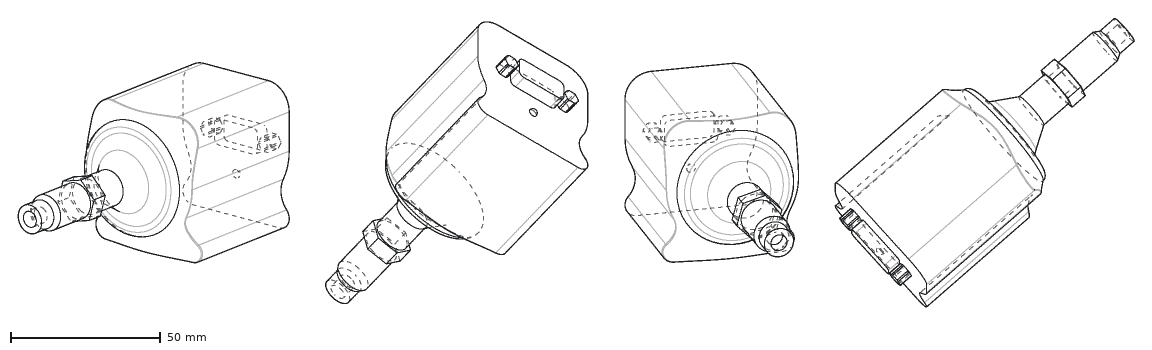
import cadquery as cq
import math


OVERALL_LENGTH = 114.0

BODY_RADIUS = 23.0
TOP_CORNER_RADIUS = 9.1
FOOT_DROP = 28.2
FOOT_CORNER_RADIUS = 4.2
FOOT_CORNER_X = BODY_RADIUS - FOOT_CORNER_RADIUS
FOOT_CORNER_Z = FOOT_CORNER_RADIUS - FOOT_DROP
WAIST_RADIUS = 9.3
BODY_EDGE_ROUND = 0.3

TAPER_MID = (26.2, -48.9)
TAPER_END = (35.3, -45.9)

FLANGE_RADIUS = 20.3
FLANGE_BACK_Y = -54.7
FLANGE_FACE_Y = -56.8
FLANGE_EDGE_ROUND = FLANGE_BACK_Y - FLANGE_FACE_Y

CONE_BASE_RADIUS = 12.8
CONE_END_Y = -67.5
CONE_ROOT_ROUND = 6.0

STEM_RADIUS = 12.7 / 2
STEM_END_Y = -100.5
TIP_RADIUS = 10.1 / 2
TIP_START_Y = -102.6
TIP_END_Y = -109.1
BORE_DIAMETER = 5.6
BORE_DEPTH = 5.7

NUT_ACROSS_FLATS = 14.0
NUT_BACK_Y = -78.8
NUT_LENGTH = 5.9
NUT_TURN = 15.0

CONNECTOR_LENGTH = OVERALL_LENGTH + TIP_END_Y
SHELL_WIDTH = 18.6
SHELL_HEIGHT = 9.3
SHELL_CORNER_RADIUS = 1.9
SHELL_Z = 0.1
SCREW_SPACING = 25.1
SCREW_ACROSS_FLATS = 5.1
SCREW_CORNER_DIAMETER = 5.6

LAMP_DIAMETER = 3.0
LAMP_Z = -13.1


def plane_at(y):
    """Sketch plane at the given Y, with X to the right, Z up and its normal toward -Y."""
    return cq.Workplane("XZ", origin=(0, y, 0))


def hex_bar(across_flats, length, y_back, turn=0.0):
    """Hexagonal bar on the Y axis, running from y_back toward -Y."""
    corner_diameter = across_flats / math.cos(math.radians(30))
    bar = plane_at(y_back).polygon(6, corner_diameter).extrude(length)
    return bar.rotate((0, 0, 0), (0, -1, 0), turn)


def waist_center():
    """Center of the right waist arc, tangent outside both the body arc and the foot corner arc."""
    to_body = BODY_RADIUS + WAIST_RADIUS
    to_foot = FOOT_CORNER_RADIUS + WAIST_RADIUS
    span = math.hypot(FOOT_CORNER_X, FOOT_CORNER_Z)
    along = (to_body**2 - to_foot**2 + span**2) / (2 * span)
    across = math.sqrt(to_body**2 - along**2)
    unit_x = FOOT_CORNER_X / span
    unit_z = FOOT_CORNER_Z / span
    return along * unit_x - across * unit_z, along * unit_z + across * unit_x


def housing_blank():
    """Full-length prism with rounded top corners, waisted sides and a flared foot."""
    waist_x, waist_z = waist_center()
    body_share = BODY_RADIUS / (BODY_RADIUS + WAIST_RADIUS)
    foot_share = FOOT_CORNER_RADIUS / (FOOT_CORNER_RADIUS + WAIST_RADIUS)
    body_end = (waist_x * body_share, waist_z * body_share)
    foot_start = (
        FOOT_CORNER_X + (waist_x - FOOT_CORNER_X) * foot_share,
        FOOT_CORNER_Z + (waist_z - FOOT_CORNER_Z) * foot_share,
    )
    half = (
        plane_at(0)
        .moveTo(0, BODY_RADIUS)
        .lineTo(BODY_RADIUS - TOP_CORNER_RADIUS, BODY_RADIUS)
        .radiusArc((BODY_RADIUS, BODY_RADIUS - TOP_CORNER_RADIUS), TOP_CORNER_RADIUS)
        .lineTo(BODY_RADIUS, 0)
        .radiusArc(body_end, BODY_RADIUS)
        .radiusArc(foot_start, -WAIST_RADIUS)
        .radiusArc((FOOT_CORNER_X, -FOOT_DROP), FOOT_CORNER_RADIUS)
        .lineTo(0, -FOOT_DROP)
        .close()
        .extrude(-FLANGE_BACK_Y)
    )
    return half.union(half.mirror("YZ")).clean()


def taper():
    """Turned envelope whose hollow front runs from the flange out past the housing corners."""
    return (
        cq.Workplane("XY")
        .lineTo(0, FLANGE_BACK_Y)
        .lineTo(FLANGE_RADIUS, FLANGE_BACK_Y)
        .threePointArc(TAPER_MID, TAPER_END)
        .lineTo(TAPER_END[0], 0)
        .close()
        .revolve(360, (0, 0, 0), (0, 1, 0))
    )


def housing():
    """Prism trimmed by the taper, with the outline edge of the tapered front slightly rounded."""
    trimmed = housing_blank().intersect(taper())
    outline_edges = trimmed.faces("not(#Y or |Y)").edges("not(%CIRCLE)")
    return outline_edges.fillet(BODY_EDGE_ROUND)


def plug():
    """Flange, strain relief cone, stem and tip, turned in one piece and bored from the tip."""
    slope = math.atan2(CONE_BASE_RADIUS - STEM_RADIUS, FLANGE_FACE_Y - CONE_END_Y)
    tangent = CONE_ROOT_ROUND * math.tan(math.pi / 4 - slope / 2)
    root_start = (CONE_BASE_RADIUS + tangent, FLANGE_FACE_Y)
    root_end = (
        CONE_BASE_RADIUS - tangent * math.sin(slope),
        FLANGE_FACE_Y - tangent * math.cos(slope),
    )
    turned = (
        cq.Workplane("XY")
        .moveTo(0, FLANGE_BACK_Y)
        .lineTo(FLANGE_RADIUS, FLANGE_BACK_Y)
        .radiusArc((FLANGE_RADIUS - FLANGE_EDGE_ROUND, FLANGE_FACE_Y), FLANGE_EDGE_ROUND)
        .lineTo(*root_start)
        .radiusArc(root_end, -CONE_ROOT_ROUND)
        .lineTo(STEM_RADIUS, CONE_END_Y)
        .lineTo(STEM_RADIUS, STEM_END_Y)
        .lineTo(TIP_RADIUS, TIP_START_Y)
        .lineTo(TIP_RADIUS, TIP_END_Y)
        .lineTo(0, TIP_END_Y)
        .close()
        .revolve(360, (0, 0, 0), (0, 1, 0))
    )
    bore = plane_at(TIP_END_Y).circle(BORE_DIAMETER / 2).extrude(-BORE_DEPTH)
    nut = hex_bar(NUT_ACROSS_FLATS, NUT_LENGTH, NUT_BACK_Y, NUT_TURN)
    return turned.union(nut).cut(bore)


def connector():
    """Connector shell with a hexagonal jack screw on each side."""
    shell = (
        plane_at(CONNECTOR_LENGTH)
        .center(0, SHELL_Z)
        .rect(SHELL_WIDTH, SHELL_HEIGHT)
        .extrude(CONNECTOR_LENGTH)
        .edges("|Y")
        .fillet(SHELL_CORNER_RADIUS)
    )
    rounder = plane_at(CONNECTOR_LENGTH).circle(SCREW_CORNER_DIAMETER / 2).extrude(CONNECTOR_LENGTH)
    screw = hex_bar(SCREW_ACROSS_FLATS, CONNECTOR_LENGTH, CONNECTOR_LENGTH).intersect(rounder)
    for side in (-1, 1):
        shell = shell.union(screw.translate((side * SCREW_SPACING / 2, 0, 0)))
    return shell


def lamp():
    """Round lamp whose front half is sunk in the housing."""
    return cq.Workplane("XY").sphere(LAMP_DIAMETER / 2).translate((0, 0, LAMP_Z))


result = housing().union(plug()).union(connector()).union(lamp())